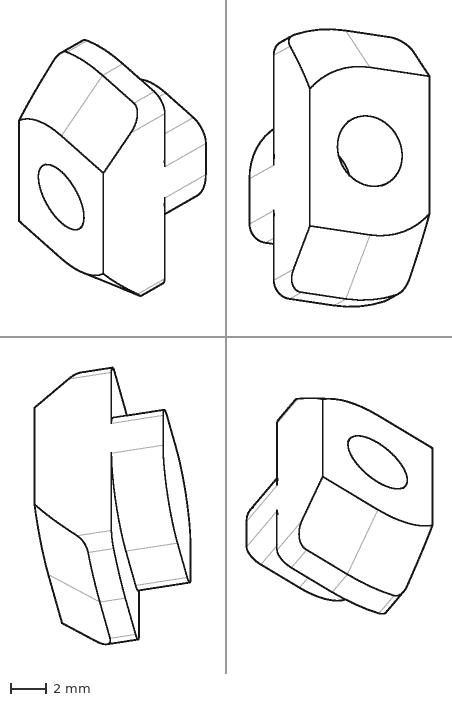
import cadquery as cq

length = 16.0
width = 7.7
head_depth = 4.5
stem_depth = 3.0
bevel = 3.0
head_corner_radius = 1.0
stem_wide_radius = 4.0
stem_upper_radius = 1.17
stem_lower_radius = 1.0
bore_diameter = 4.16
bore_depth = 6.4

front = -(head_depth + stem_depth) / 2
head_back = front + head_depth
half_length = length / 2
half_width = width / 2


def sketch_plane(y):
    """Plane across the nut at the given Y: local x is Z, local y is X, extrusion goes to +Y."""
    return cq.Workplane("ZX", origin=(0, y, 0))


def bar():
    return sketch_plane(front).rect(length, width).extrude(head_depth)


def disc():
    return sketch_plane(front).circle(half_length).extrude(head_depth)


def round_quarters(blank, round_body):
    """Trim the -X +Z and +X -Z quarters of the blank to the round body."""
    for side in (1, -1):
        quarter = (
            sketch_plane(front)
            .center(side * half_length / 2, -side * half_width / 2)
            .rect(half_length, half_width)
            .extrude(head_depth)
        )
        blank = blank.cut(quarter.cut(round_body))
    return blank


def make_head():
    """Bar with flat bevels and two conical quarters, all four outline corners rounded."""
    flat_bevelled = bar().faces("<Y").edges("|X").chamfer(bevel)
    cone_bevelled = disc().faces("<Y").edges().chamfer(bevel)
    bevelled = round_quarters(flat_bevelled, cone_bevelled)

    outline = round_quarters(bar(), disc())
    outline = outline.edges("|Y").edges("<X or >X").fillet(head_corner_radius)
    return bevelled.intersect(outline)


def make_stem():
    """Square stem with each corner rounded to its own radius."""
    stem = sketch_plane(head_back).rect(width, width).extrude(stem_depth)
    middle = head_back + stem_depth / 2
    corners = (
        (-1, 1, stem_wide_radius),
        (1, -1, stem_wide_radius),
        (1, 1, stem_upper_radius),
        (-1, -1, stem_lower_radius),
    )
    for x_side, z_side, radius in corners:
        corner = (x_side * half_width, middle, z_side * half_width)
        stem = stem.edges("|Y").edges(cq.NearestToPointSelector(corner)).fillet(radius)
    return stem


bore = sketch_plane(front).circle(bore_diameter / 2).extrude(bore_depth)
result = make_head().union(make_stem()).cut(bore)